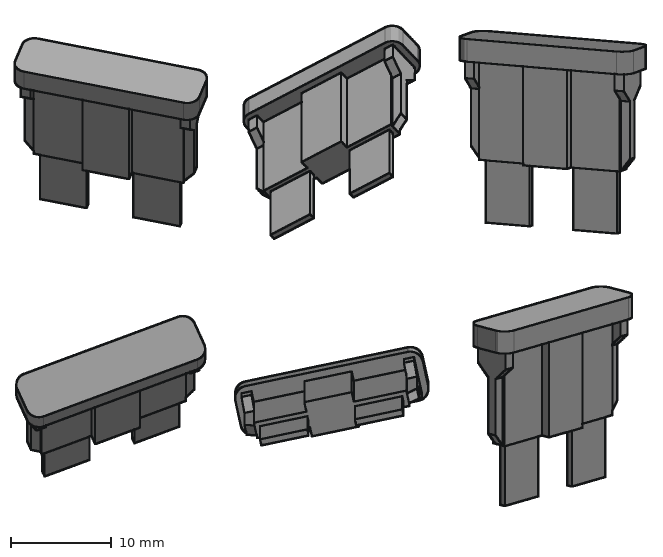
import cadquery as cq

total_height = 18.8

head_length = 19.05
head_width = 5.09
head_height = 2.29
head_corner_radius = 1.28

body_height = 10.13
centre_panel_length = 4.82
centre_panel_thickness = 3.56
side_panels_length = 15.49
side_panels_thickness = 1.6

wings_length = 17.53
wing_thickness = 1.03
shoulder_thickness = 3.81
shoulder_height = 1.8
flare_height = 1.25
wing_corner_height = 1.28

blade_width = 4.82
blade_thickness = 0.65

head_bottom = total_height - head_height
body_bottom = head_bottom - body_height
wing_width = (wings_length - side_panels_length) / 2


def body_panel(length, thickness):
    """Centred upright panel reaching from the body bottom to the head."""
    return (
        cq.Workplane("XY", origin=(0, 0, body_bottom))
        .rect(length, thickness)
        .extrude(body_height)
    )


def make_head():
    return (
        cq.Workplane("XY", origin=(0, 0, head_bottom))
        .rect(head_length, head_width)
        .extrude(head_height)
        .edges("|Z")
        .fillet(head_corner_radius)
    )


def make_wing(side):
    """Y-shaped wing at the -X (side = -1) or +X (side = 1) end of the body."""
    inner_x = side * side_panels_length / 2
    outer_x = side * wings_length / 2
    flare_top = head_bottom - shoulder_height
    flare_bottom = flare_top - flare_height
    half_rib = wing_thickness / 2
    half_shoulder = shoulder_thickness / 2
    profile = (
        cq.Workplane("YZ", origin=(inner_x, 0, 0))
        .moveTo(-half_rib, body_bottom)
        .lineTo(half_rib, body_bottom)
        .lineTo(half_rib, flare_bottom)
        .lineTo(half_shoulder, flare_top)
        .lineTo(half_shoulder, head_bottom)
        .lineTo(-half_shoulder, head_bottom)
        .lineTo(-half_shoulder, flare_top)
        .lineTo(-half_rib, flare_bottom)
        .close()
        .extrude(side * wing_width)
    )
    corner = (
        cq.Workplane("XZ")
        .moveTo(inner_x, body_bottom)
        .lineTo(outer_x, body_bottom)
        .lineTo(outer_x, body_bottom + wing_corner_height)
        .close()
        .extrude(wing_thickness, both=True)
    )
    return profile.cut(corner)


def make_blade(side):
    """Flat blade whose inner edge lines up with the centre panel's side."""
    blade_x = side * (centre_panel_length + blade_width) / 2
    return (
        cq.Workplane("XY")
        .center(blade_x, 0)
        .rect(blade_width, blade_thickness)
        .extrude(head_bottom)
    )


result = (
    make_head()
    .union(body_panel(centre_panel_length, centre_panel_thickness))
    .union(body_panel(side_panels_length, side_panels_thickness))
)
for side in (-1, 1):
    result = result.union(make_wing(side)).union(make_blade(side))